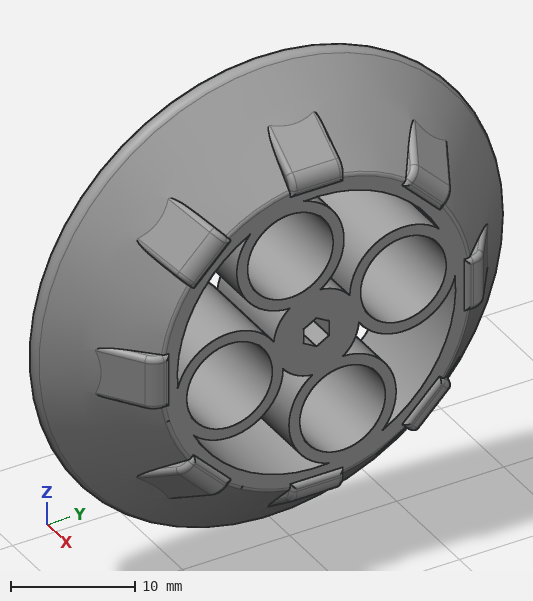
import cadquery as cq
import math

axis_end = (1, 0, 0)

rim_radius = 21.95
rim_round = 1.0
flank_angle = 44.5
body_length = 9.0
end_round = 0.5
bore_radius = 13.0

hub_radius = 4.0
hex_across_flats = 2.35
tube_count = 4
tube_outer_radius = 5.0
tube_inner_radius = 4.0
tube_orbit = 8.45
tube_start_angle = 106.7

pad_count = 8
pad_width = 5.0
pad_tail_x = 3.5
pad_tail_radius = 19.35
pad_slope = 35.0
pad_end_x = 9.3
pad_inner_radius = 13.75
pad_nose_round = 1.65
pad_edge_round = 0.5


def make_body():
    """Cone with a rounded rim that runs tangent into the flank, bored along the axis."""
    flank = math.radians(flank_angle)
    round_center_radius = rim_radius - rim_round
    flank_start_x = rim_round * (1 + math.sin(flank))
    flank_start_radius = round_center_radius + rim_round * math.cos(flank)
    end_radius = flank_start_radius - (body_length - flank_start_x) * math.tan(flank)
    body = (
        cq.Workplane("XY")
        .moveTo(0, bore_radius)
        .lineTo(0, round_center_radius)
        .threePointArc((rim_round, rim_radius), (flank_start_x, flank_start_radius))
        .lineTo(body_length, end_radius)
        .lineTo(body_length, bore_radius)
        .close()
        .revolve(360, (0, 0, 0), axis_end)
    )
    end_edge = cq.selectors.RadiusNthSelector(-1)
    return body.faces(">X").edges(end_edge).fillet(end_round)


def make_pad():
    """One pad toward +Z: sloped top, large round at the nose, small rounds on the sides and end."""
    nose_radius = pad_tail_radius - (pad_end_x - pad_tail_x) * math.tan(math.radians(pad_slope))
    pad = (
        cq.Workplane("XZ")
        .moveTo(pad_tail_x, pad_tail_radius)
        .lineTo(pad_end_x, nose_radius)
        .lineTo(pad_end_x, pad_inner_radius)
        .lineTo(pad_tail_x, pad_inner_radius)
        .close()
        .extrude(pad_width / 2, both=True)
    )
    nose = cq.selectors.NearestToPointSelector((pad_end_x, 0, nose_radius))
    pad = pad.edges(nose).fillet(pad_nose_round)
    return pad.faces(">X").edges().fillet(pad_edge_round)


def tube_cylinders(radius):
    """Full-length cylinders along X at the tube places."""
    return (
        cq.Workplane("YZ")
        .polarArray(tube_orbit, tube_start_angle, 360, tube_count)
        .circle(radius)
        .extrude(body_length)
    )


def make_hex_hole():
    """Full-length hexagon on the axis with corners toward +Z and -Z."""
    across_corners = hex_across_flats / math.cos(math.radians(30))
    hexagon = cq.Workplane("YZ").polygon(6, across_corners).extrude(body_length)
    return hexagon.rotate((0, 0, 0), axis_end, 90)


hub = cq.Workplane("YZ").circle(hub_radius).extrude(body_length)

result = make_body().union(tube_cylinders(tube_outer_radius)).union(hub)
result = result.cut(tube_cylinders(tube_inner_radius)).cut(make_hex_hole())

pad = make_pad()
for index in range(pad_count):
    result = result.union(pad.rotate((0, 0, 0), axis_end, index * 360 / pad_count))